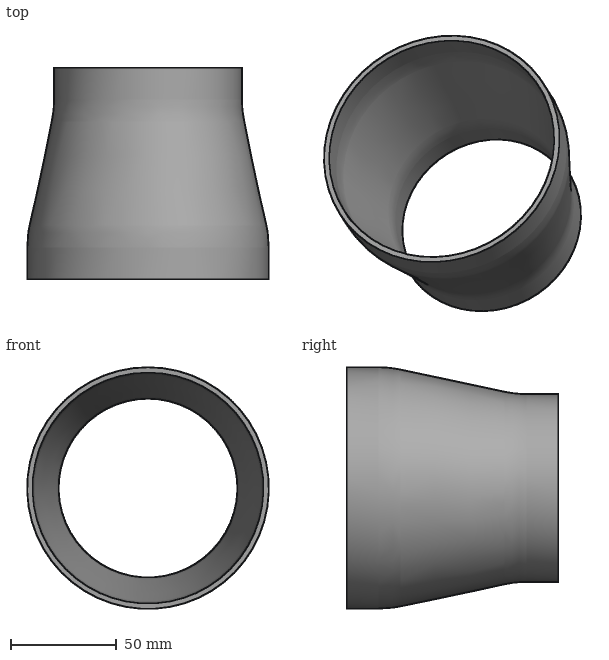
import cadquery as cq
import math

length = 100.0
collar_length = 15.0
wide_outer_diameter = 114.3
wide_inner_diameter = 109.2
narrow_outer_diameter = 88.9
narrow_inner_diameter = 84.4
blend_radius = 50.0

wide_collar_end = collar_length
narrow_collar_start = length - collar_length


def reducer_solid(wide_diameter, narrow_diameter):
    """Solid of revolution: two straight collars joined by a cone through tangent arcs."""
    wide_radius = wide_diameter / 2
    narrow_radius = narrow_diameter / 2

    taper_length = narrow_collar_start - wide_collar_end
    centre_offset = 2 * blend_radius - (wide_radius - narrow_radius)
    centre_distance = math.hypot(taper_length, centre_offset)
    cone_angle = math.atan2(taper_length, centre_offset) - math.acos(2 * blend_radius / centre_distance)

    def wide_blend_point(angle):
        drop = blend_radius * (1 - math.cos(angle))
        return wide_collar_end + blend_radius * math.sin(angle), wide_radius - drop

    def narrow_blend_point(angle):
        rise = blend_radius * (1 - math.cos(angle))
        return narrow_collar_start - blend_radius * math.sin(angle), narrow_radius + rise

    return (
        cq.Workplane("YZ")
        .lineTo(0, wide_radius)
        .lineTo(wide_collar_end, wide_radius)
        .threePointArc(wide_blend_point(cone_angle / 2), wide_blend_point(cone_angle))
        .lineTo(*narrow_blend_point(cone_angle))
        .threePointArc(narrow_blend_point(cone_angle / 2), (narrow_collar_start, narrow_radius))
        .lineTo(length, narrow_radius)
        .lineTo(length, 0)
        .close()
        .revolve(360, (0, 0, 0), (1, 0, 0))
    )


outer_body = reducer_solid(wide_outer_diameter, narrow_outer_diameter)
inner_passage = reducer_solid(wide_inner_diameter, narrow_inner_diameter)

result = outer_body.cut(inner_passage)